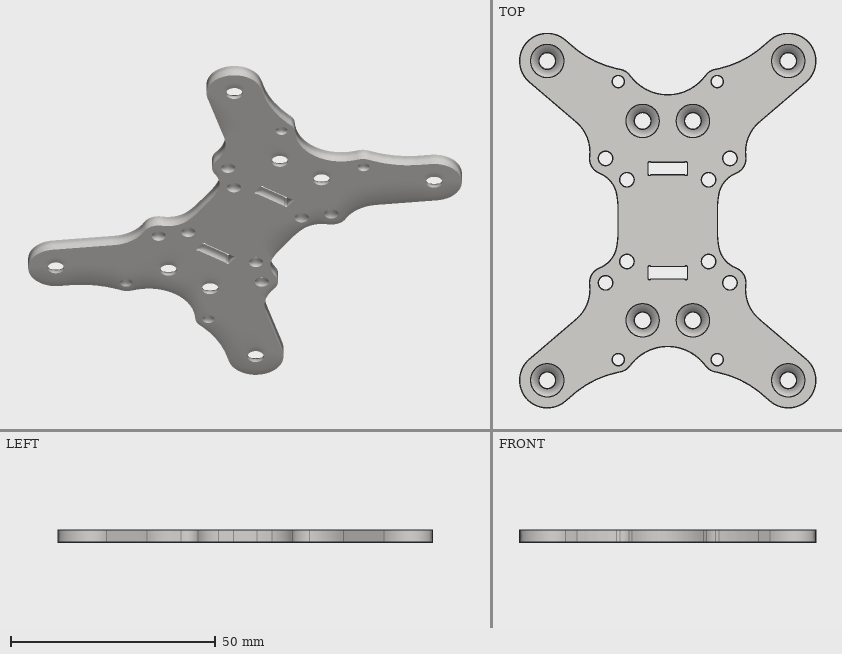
import cadquery as cq
import math

LENGTH = 91.7
WIDTH = 72.6
THICKNESS = 3.0
TIP_RADIUS = 6.8
ARM_ANGLE = math.radians(40.5)
TIP_X = WIDTH / 2 - TIP_RADIUS
TIP_Y = LENGTH / 2 - TIP_RADIUS

WAIST_HALF_WIDTH = 12.2
WAIST_HALF_LENGTH = 2.8
FLARE_RADIUS = 20.0
FLARE_END_Y = 6.5
EAR_RADIUS = 3.9
ARMPIT_RADIUS = 9.5

NOTCH_Y = 30.8
NOTCH_RADIUS = 11.4
NOTCH_END_X = 8.7
SHOULDER_START = (9.45, 35.8)
SHOULDER_END = (11.7, 37.1)
ARM_CURVE_START = (12.6, 37.2)
ARM_CURVE_END_X = 22.2

OUTER_MOUNT = 15.2
INNER_MOUNT = 10.0
MOUNT_DIAMETER = 3.5
SHOULDER_HOLE = (12.1, 34.0)
SHOULDER_HOLE_DIAMETER = 2.9
CENTER_SCREW = (6.15, 24.4)
SCREW_DIAMETER = 4.0
HEAD_DIAMETER = 8.2
HEAD_ANGLE = 90

SLOT_LENGTH = 9.6
SLOT_WIDTH = 3.0
SLOT_Y = 12.75
RELIEF_RADIUS = 0.4
RELIEF_DEPTH = 0.2


def four_ways(point):
    """Repeat a point symmetrically in all four quadrants."""
    return [(sx * point[0], sy * point[1]) for sx in (-1, 1) for sy in (-1, 1)]


def polar(center, radius, angle):
    """Point on a circle at the given angle."""
    return (center[0] + radius * math.cos(angle), center[1] + radius * math.sin(angle))


def quarter_plate():
    """The +X +Y quarter of the plate."""
    tip = (TIP_X, TIP_Y)
    arm_top = polar(tip, TIP_RADIUS, ARM_ANGLE + math.pi / 2)
    arm_bottom = polar(tip, TIP_RADIUS, ARM_ANGLE - math.pi / 2)
    arm_run = arm_top[0] - ARM_CURVE_END_X
    arm_curve_end = (ARM_CURVE_END_X, arm_top[1] - arm_run * math.tan(ARM_ANGLE))

    ear = (OUTER_MOUNT, OUTER_MOUNT)
    from_ear = (arm_bottom[0] - ear[0], arm_bottom[1] - ear[1])
    along = from_ear[0] * math.cos(ARM_ANGLE) + from_ear[1] * math.sin(ARM_ANGLE)
    across = from_ear[0] * math.sin(ARM_ANGLE) - from_ear[1] * math.cos(ARM_ANGLE)
    reach = math.sqrt((ARMPIT_RADIUS + EAR_RADIUS) ** 2 - (ARMPIT_RADIUS + across) ** 2)
    armpit_start = polar(arm_bottom, reach - along, ARM_ANGLE)
    armpit = polar(armpit_start, ARMPIT_RADIUS, ARM_ANGLE - math.pi / 2)
    ear_start = polar(ear, EAR_RADIUS, math.atan2(armpit[1] - ear[1], armpit[0] - ear[0]))

    flare_angle = math.asin((FLARE_END_Y - WAIST_HALF_LENGTH) / FLARE_RADIUS)
    flare_center = (WAIST_HALF_WIDTH + FLARE_RADIUS, WAIST_HALF_LENGTH)
    flare_end = polar(flare_center, FLARE_RADIUS, math.pi - flare_angle)
    offset = (flare_end[0] - ear[0], flare_end[1] - ear[1])
    offset_along_normal = offset[0] * math.cos(flare_angle) - offset[1] * math.sin(flare_angle)
    offset_squared = offset[0] ** 2 + offset[1] ** 2
    neck_radius = (offset_squared - EAR_RADIUS**2) / (2 * (EAR_RADIUS - offset_along_normal))
    neck = polar(flare_end, neck_radius, -flare_angle)
    ear_end = polar(ear, EAR_RADIUS, math.atan2(neck[1] - ear[1], neck[0] - ear[0]))

    notch_center_y = NOTCH_Y + NOTCH_RADIUS
    notch_end_y = notch_center_y - math.sqrt(NOTCH_RADIUS**2 - NOTCH_END_X**2)
    notch_mid_angle = -math.pi / 2 + math.asin(NOTCH_END_X / NOTCH_RADIUS) / 2
    notch_mid = polar((0, notch_center_y), NOTCH_RADIUS, notch_mid_angle)

    return (
        cq.Workplane("XY")
        .moveTo(0, 0)
        .lineTo(0, NOTCH_Y)
        .threePointArc(notch_mid, (NOTCH_END_X, notch_end_y))
        .lineTo(*SHOULDER_START)
        .tangentArcPoint(SHOULDER_END, relative=False)
        .lineTo(*ARM_CURVE_START)
        .tangentArcPoint(arm_curve_end, relative=False)
        .lineTo(*arm_top)
        .threePointArc(polar(tip, TIP_RADIUS, ARM_ANGLE), arm_bottom)
        .lineTo(*armpit_start)
        .tangentArcPoint(ear_start, relative=False)
        .tangentArcPoint(ear_end, relative=False)
        .tangentArcPoint(flare_end, relative=False)
        .tangentArcPoint((WAIST_HALF_WIDTH, WAIST_HALF_LENGTH), relative=False)
        .lineTo(WAIST_HALF_WIDTH, 0)
        .close()
        .extrude(THICKNESS)
    )


quarter = quarter_plate()
half = quarter.union(quarter.mirror("YZ"))
plate = half.union(half.mirror("XZ")).clean()

screws = four_ways((TIP_X, TIP_Y)) + four_ways(CENTER_SCREW)
top = plate.faces(">Z").workplane(origin=(0, 0, THICKNESS))
plate = top.pushPoints(screws).cskHole(SCREW_DIAMETER, HEAD_DIAMETER, HEAD_ANGLE)

mounts = four_ways((OUTER_MOUNT, OUTER_MOUNT)) + four_ways((INNER_MOUNT, INNER_MOUNT))
for points, diameter in (
    (mounts, MOUNT_DIAMETER),
    (four_ways(SHOULDER_HOLE), SHOULDER_HOLE_DIAMETER),
):
    top = plate.faces(">Z").workplane(origin=(0, 0, THICKNESS))
    plate = top.pushPoints(points).hole(diameter)

relief = (SLOT_LENGTH / 2 - RELIEF_RADIUS, SLOT_WIDTH / 2 + RELIEF_DEPTH - RELIEF_RADIUS)
for slot_y in (-SLOT_Y, SLOT_Y):
    slot = cq.Workplane("XY").center(0, slot_y).rect(SLOT_LENGTH, SLOT_WIDTH).extrude(THICKNESS)
    reliefs = (
        cq.Workplane("XY")
        .center(0, slot_y)
        .pushPoints(four_ways(relief))
        .circle(RELIEF_RADIUS)
        .extrude(THICKNESS)
    )
    plate = plate.cut(slot).cut(reliefs)

result = plate